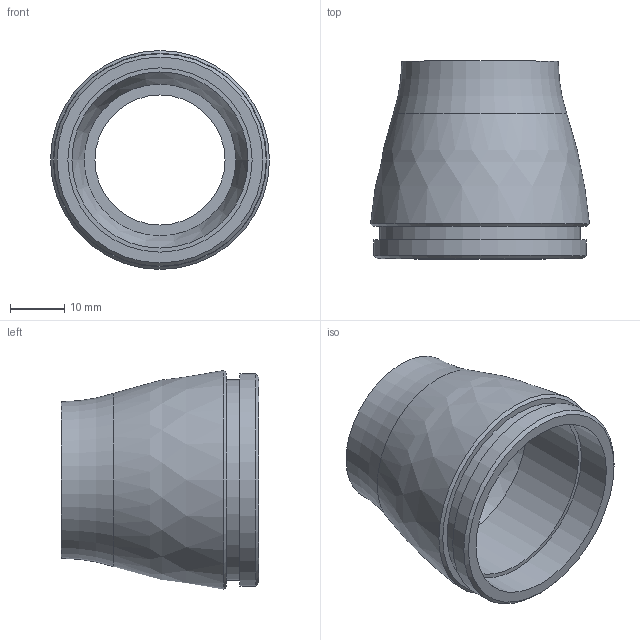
import cadquery as cq

length = 36.5

rim_radius = 19.6
rim_chamfer = 0.6
groove_radius = 18.55
body_radius = 20.2
body_chamfer = 0.5
blend_radius = 16.0
narrow_end_radius = 14.45

rim_width = 3.5
groove_width = 2.5
body_start = rim_width + groove_width
blend_position = 26.8

neck_rise = blend_radius - narrow_end_radius
neck_length = length - blend_position
neck_arc_radius = (neck_rise**2 + neck_length**2) / (2 * neck_rise)

counterbore_radius = 17.0
counterbore_depth = 6.5
main_bore_radius = 16.25
main_bore_depth = 20.0
cone_end_radius = 14.0
cone_end_depth = 26.0
outlet_radius = 12.0


def outer_body():
    """Solid of revolution: chamfered rim, groove and bell-shaped flank."""
    profile = (
        cq.Workplane("XY")
        .moveTo(0, length)
        .lineTo(narrow_end_radius, length)
        .radiusArc((blend_radius, blend_position), -neck_arc_radius)
        .tangentArcPoint((body_radius, body_start + body_chamfer), relative=False)
        .lineTo(body_radius - body_chamfer, body_start)
        .lineTo(groove_radius, body_start)
        .lineTo(groove_radius, rim_width)
        .lineTo(rim_radius, rim_width)
        .lineTo(rim_radius, rim_chamfer)
        .lineTo(rim_radius - rim_chamfer, 0)
        .lineTo(0, 0)
        .close()
    )
    return profile.revolve(360, (0, 0), (0, 1))


def bore():
    """Stepped through bore: counterbore, main bore, cone and outlet."""
    profile = (
        cq.Workplane("XY")
        .moveTo(0, 0)
        .lineTo(counterbore_radius, 0)
        .lineTo(counterbore_radius, counterbore_depth)
        .lineTo(main_bore_radius, counterbore_depth)
        .lineTo(main_bore_radius, main_bore_depth)
        .lineTo(cone_end_radius, cone_end_depth)
        .lineTo(outlet_radius, cone_end_depth)
        .lineTo(outlet_radius, length)
        .lineTo(0, length)
        .close()
    )
    return profile.revolve(360, (0, 0), (0, 1))


result = outer_body().cut(bore())